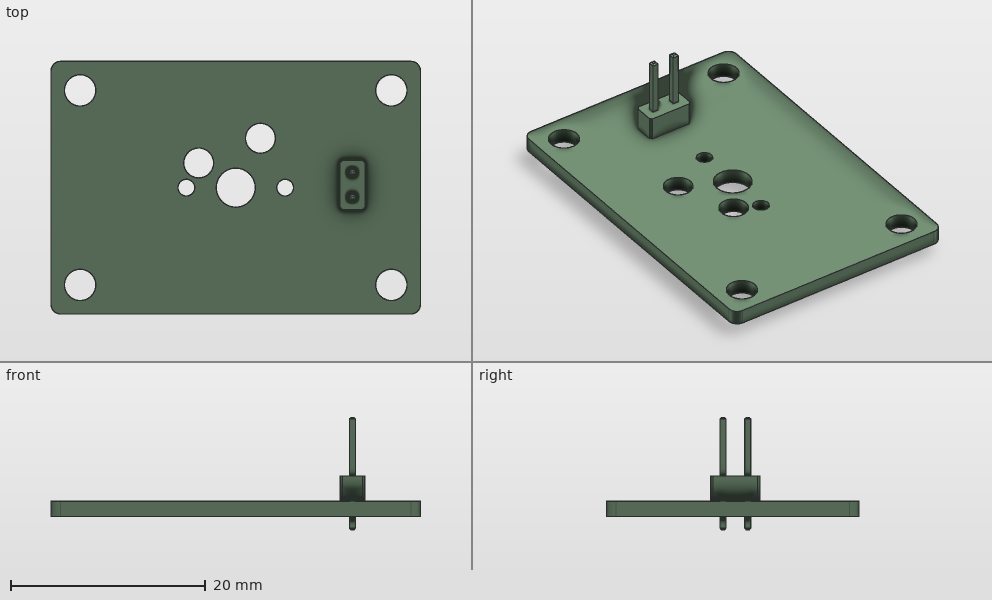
import cadquery as cq

board_length = 38.0
board_width = 26.0
board_thickness = 1.6
board_corner_radius = 1.0

mount_hole_diameter = 3.2
mount_hole_spacing_x = 32.0
mount_hole_spacing_y = 20.0
switch_grid = 1.27
stem_hole_diameter = 3.99
peg_hole_diameter = 1.7
peg_hole_offset = 4 * switch_grid
contact_hole_diameter = 3.05
contact_hole_centers = [(-3 * switch_grid, 2 * switch_grid), (2 * switch_grid, 4 * switch_grid)]

pin_count = 2
pin_pitch = 2.54
header_x = 12.0
header_y = 0.27
header_gap = 0.05
block_height = pin_pitch
block_corner_chamfer = pin_pitch / 10
pin_side = 0.64
pin_tip_chamfer = pin_side / 4
pin_length = 11.54
pin_length_below_block = 3.0
pin_hole_diameter = 1.0

block_bottom = board_thickness + header_gap
pin_bottom = block_bottom - pin_length_below_block
first_pin_y = header_y - (pin_count - 1) * pin_pitch / 2
pin_centers = [(header_x, first_pin_y + i * pin_pitch) for i in range(pin_count)]


def drill(plate, centers, diameter):
    """Cut a round hole right through the plate at each centre."""
    drills = (
        cq.Workplane("XY")
        .pushPoints(centers)
        .circle(diameter / 2)
        .extrude(board_thickness)
    )
    return plate.cut(drills)


def make_board():
    """Rounded rectangular plate with mounting, switch and pin holes."""
    plate = (
        cq.Workplane("XY")
        .box(board_length, board_width, board_thickness, centered=(True, True, False))
        .edges("|Z")
        .fillet(board_corner_radius)
    )
    mount_hole_centers = [
        (side_x * mount_hole_spacing_x / 2, side_y * mount_hole_spacing_y / 2)
        for side_x in (-1, 1)
        for side_y in (-1, 1)
    ]
    plate = drill(plate, mount_hole_centers, mount_hole_diameter)
    plate = drill(plate, [(0, 0)], stem_hole_diameter)
    plate = drill(plate, [(-peg_hole_offset, 0), (peg_hole_offset, 0)], peg_hole_diameter)
    plate = drill(plate, contact_hole_centers, contact_hole_diameter)
    return drill(plate, pin_centers, pin_hole_diameter)


def make_pin(center):
    """Square pin with all four edges of both tips bevelled."""
    return (
        cq.Workplane("XY", origin=(*center, pin_bottom))
        .rect(pin_side, pin_side)
        .extrude(pin_length)
        .faces("<Z or >Z")
        .edges()
        .chamfer(pin_tip_chamfer)
    )


def make_header():
    """Block with chamfered upright corners, in one piece with its pins."""
    header = (
        cq.Workplane("XY", origin=(header_x, header_y, block_bottom))
        .rect(pin_pitch, pin_count * pin_pitch)
        .extrude(block_height)
        .edges("|Z")
        .chamfer(block_corner_chamfer)
    )
    for center in pin_centers:
        header = header.union(make_pin(center))
    return header


board = make_board()
pin_header = make_header()

result = cq.Compound.makeCompound([board.val(), pin_header.val()])